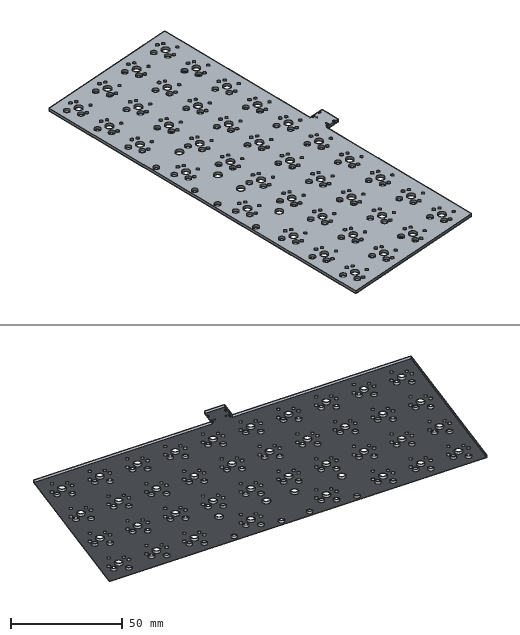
import cadquery as cq

key_pitch = 19.0
columns = 10
rows = 4
thickness = 1.6
board_length = columns * key_pitch
board_width = rows * key_pitch

grid_steps_per_pitch = 15
switch_grid = key_pitch / grid_steps_per_pitch
center_diameter = 4.0
side_diameter = 1.7
pin_diameter = 1.5
socket_diameter = 3.0
side_offsets = [(-4, 0), (4, 0)]
pin_offsets = [(-3, 2), (2, 4)]
socket_offsets = [(3, -2), (-2, -4)]

stabilizer_rear_offsets = [(-9.4, 6.5), (9.4, 6.5)]
stabilizer_front_offsets = [(-9.4, -5.5), (9.4, -5.5)]

slot_width = 0.61
inner_slot_length = 1.7
outer_slot_length = 1.2
inner_slot_setback = 1.6
slot_row_spacing = 4.0
inner_slot_y = board_width + inner_slot_setback
outer_slot_y = inner_slot_y + slot_row_spacing

locating_diameter = 0.65
locating_span = 5.7
locating_setback = 0.53
locating_y = inner_slot_y + locating_setback

tab_width = 10.1
tab_end_margin = 2.3
tab_center_x = board_length / 2
tab_end_y = outer_slot_y + tab_end_margin
slot_inset = 0.72
slot_span = tab_width - 2 * slot_inset


def key_center(column, row):
    """Centre of a key; half columns place the wide keys."""
    return ((column + 0.5) * key_pitch, (row + 0.5) * key_pitch)


def around(centers, offsets, step):
    """Every offset, scaled by the step, applied to every centre."""
    return [(x + dx * step, y + dy * step) for x, y in centers for dx, dy in offsets]


def drill(plate, points, diameter):
    """Through holes at the given points."""
    tools = cq.Workplane("XY").pushPoints(points).circle(diameter / 2).extrude(thickness)
    return plate.cut(tools)


def cut_slots(plate, points, length):
    """Through slots with round ends, long along Y."""
    tools = cq.Workplane("XY").pushPoints(points).slot2D(length, slot_width, 90).extrude(thickness)
    return plate.cut(tools)


def make_blank():
    """Rectangular board with the connector tab."""
    board = cq.Workplane("XY").box(board_length, board_width, thickness, centered=False)
    tab = (
        cq.Workplane("XY")
        .center(tab_center_x, tab_end_y / 2)
        .rect(tab_width, tab_end_y)
        .extrude(thickness)
    )
    return board.union(tab)


wide_keys = [key_center(3.5, 0), key_center(5.5, 0)]
front_keys = [key_center(column, 0) for column in (0, 1, 2, 7, 8, 9)]
upper_keys = [key_center(column, row) for row in range(1, rows) for column in range(columns)]
keys = upper_keys + front_keys + wide_keys

result = make_blank()

result = drill(result, keys, center_diameter)
result = drill(result, around(keys, side_offsets, switch_grid), side_diameter)
result = drill(result, around(keys, pin_offsets, switch_grid), pin_diameter)
result = drill(result, around(keys, socket_offsets, switch_grid), socket_diameter)

result = drill(result, around(wide_keys, stabilizer_rear_offsets, switch_grid), center_diameter)
result = drill(result, around(wide_keys, stabilizer_front_offsets, switch_grid), socket_diameter)

slot_columns = [tab_center_x - slot_span / 2, tab_center_x + slot_span / 2]
locating_columns = [tab_center_x - locating_span / 2, tab_center_x + locating_span / 2]
result = cut_slots(result, [(x, outer_slot_y) for x in slot_columns], outer_slot_length)
result = cut_slots(result, [(x, inner_slot_y) for x in slot_columns], inner_slot_length)
result = drill(result, [(x, locating_y) for x in locating_columns], locating_diameter)